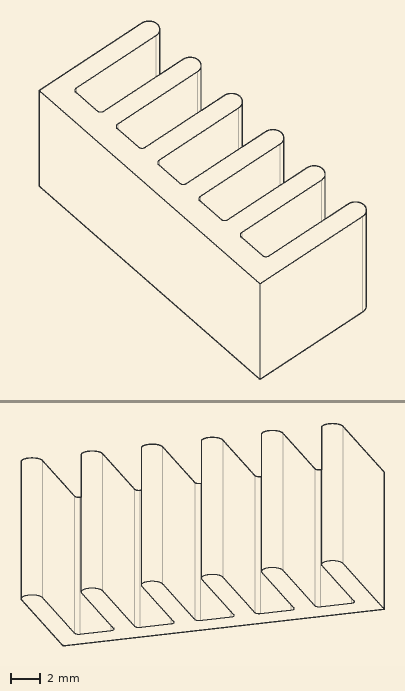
import cadquery as cq

length = 23.0
depth = 10.0
height = 10.0

base_thickness = 1.8
fin_count = 6
fin_thickness = 1.5
root_radius = 0.3

tip_radius = fin_thickness / 2
fin_pitch = (length - fin_thickness) / (fin_count - 1)
channel_width = fin_pitch - fin_thickness
base_front = -depth / 2
base_back = base_front + base_thickness
fin_straight_end = depth / 2 - tip_radius


def make_fin(center_x):
    """Upright fin rising from the base plate, ending in a full round tip."""
    left = center_x - tip_radius
    right = center_x + tip_radius
    return (
        cq.Workplane("XY")
        .moveTo(left, base_front)
        .lineTo(right, base_front)
        .lineTo(right, fin_straight_end)
        .threePointArc((center_x, depth / 2), (left, fin_straight_end))
        .close()
        .extrude(height)
    )


result = cq.Workplane("XY").box(length, base_thickness, height, centered=(True, False, False))
result = result.translate((0, base_front, 0))

first_fin_x = -length / 2 + tip_radius
for index in range(fin_count):
    result = result.union(make_fin(first_fin_x + index * fin_pitch))
result = result.clean()

root_edges = []
for index in range(fin_count - 1):
    channel_x = first_fin_x + (index + 0.5) * fin_pitch
    for side in (-1, 1):
        root_point = (channel_x + side * channel_width / 2, base_back, height / 2)
        root_edges.append(result.edges(cq.NearestToPointSelector(root_point)).val())
result = result.newObject(root_edges).fillet(root_radius)